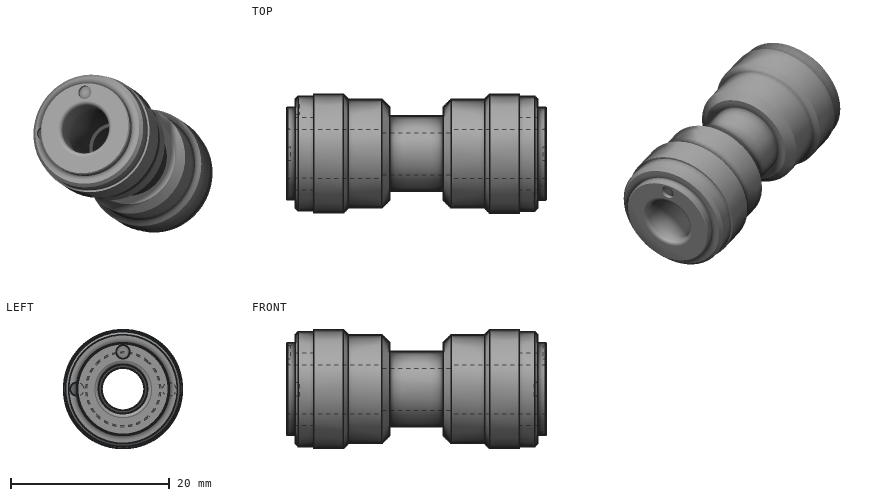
import cadquery as cq


length = 32.8
cap_face = 1.1
cap_seat = 3.4
band_end = 7.15
neck_start = 13.02

band_diameter = 15.0
cap_diameter = 14.5
body_diameter = 13.7
flange_diameter = 11.7
neck_diameter = 9.5

sleeve_diameter = 9.2
socket_diameter = 6.2
collet_bore = 6.15
through_bore = 5.3

cap_chamfer = 0.4
body_chamfer = 1.02
flange_chamfer = 0.13
mouth_fillet = 0.5

marker_diameter = 1.7
marker_depth = 0.5
collet_marker_radius = 4.7
cap_marker_radius = 5.8

half_length = length / 2
socket_end = neck_start - body_chamfer


def cylinder(diameter, start, end):
    """Solid cylinder on the X axis; start and end are distances from the -X end."""
    base = cq.Workplane("YZ").workplane(offset=start - half_length)
    return base.circle(diameter / 2).extrude(end - start)


def marker(y, z, face):
    """Cutter for a round recess that starts at a face near the -X end."""
    return cylinder(marker_diameter, face, face + marker_depth).translate((0, y, z))


def both_ends(shape):
    """The -X shape and its copy turned half a turn about Z, at the +X end."""
    return [shape.rotate((0, 0, 0), (0, 0, 1), angle) for angle in (0, 180)]


def make_end_body():
    """Outside of the thick part of the housing at the -X end."""
    barrel = cylinder(body_diameter, cap_seat, neck_start).faces(">X").chamfer(body_chamfer)
    slope = (band_diameter - body_diameter) / 2
    band = cylinder(band_diameter, cap_seat, band_end + slope).faces(">X").chamfer(slope)
    return barrel.union(band)


def make_housing():
    """Two thick ends joined by a neck, with a stepped bore right through."""
    housing = cylinder(neck_diameter, cap_seat, length - cap_seat)
    for end_body in both_ends(make_end_body()):
        housing = housing.union(end_body)
    bore = cylinder(through_bore, cap_seat, length - cap_seat)
    for socket in both_ends(cylinder(socket_diameter, cap_seat, socket_end)):
        bore = bore.union(socket)
    return housing.cut(bore)


def make_cap():
    """Ring that closes the -X end of the housing around the collet sleeve."""
    cap = cylinder(cap_diameter, cap_face, cap_seat).faces("<X").chamfer(cap_chamfer)
    cap = cap.cut(cylinder(sleeve_diameter, cap_face, cap_seat))
    return cap.cut(marker(cap_marker_radius, 0, cap_face))


def make_collet():
    """Flanged sleeve with a rounded mouth at the -X end, flush with the inside of the cap."""
    flange = cylinder(flange_diameter, 0, cap_face).faces("<X").chamfer(flange_chamfer)
    collet = flange.union(cylinder(sleeve_diameter, cap_face, cap_seat))
    collet = collet.cut(cylinder(collet_bore, 0, cap_seat))
    mouth_edge = cq.selectors.RadiusNthSelector(0)
    collet = collet.faces("<X").edges(mouth_edge).fillet(mouth_fillet)
    return collet.cut(marker(0, collet_marker_radius, 0))


housing = make_housing()
caps = both_ends(make_cap())
collets = both_ends(make_collet())

result = cq.Compound.makeCompound(
    [housing.val(), *[cap.val() for cap in caps], *[collet.val() for collet in collets]]
)